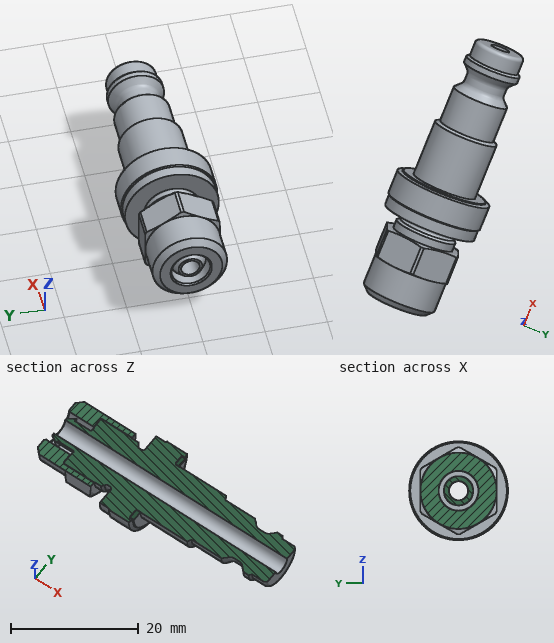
import cadquery as cq
import math

LENGTH = 43.6
BORE_DIA = 2.95

NUT_DIA = 12.0
NUT_FACE_DIA = 10.0
NUT_END_CHAMFER = (NUT_DIA - NUT_FACE_DIA) / 2
HEX_START = 6.0
NUT_END = 11.0
HEX_CORNER_DIA = 13.55
HEX_CHAMFER = 0.2
HOSE_HOLE_DIA = 6.2
HOSE_HOLE_MOUTH_DIA = 6.65
MOUTH_CHAMFER = (HOSE_HOLE_MOUTH_DIA - HOSE_HOLE_DIA) / 2

BARB_START = 0.55
BARB_TIP_DIA = 3.8
BARB_DIA = 5.55
BARB_LENGTH = 1.3
SPIGOT_DIA = 4.6
NECK_START = 5.0
NECK_DIA = 10.0
NECK_END = 12.25

GROOVE_RIM_DIA = 9.0
GROOVE_DIA = 8.4
GROOVE_START = 12.65
GROOVE_FLOOR_START = 13.05
GROOVE_FLOOR_END = 13.35

FLANGE_START = 13.8
FLANGE_DIA = 15.1
STEP_START = 15.6
STEP_END = 15.78
RIM_DIA = 15.5
RIM_END = 19.65
FLANGE_END = 19.87

RECESS_DIA = 14.0
SEAL_DIA = 13.85
SEAL_START = 19.25
SEAL_END = 20.05

SHANK_DIA = 10.4
SHANK_END = 29.05
SHANK_CHAMFER = 0.4
PLUG_DIA = 9.0
PLUG_END = 35.2
LATCH_DIA = 6.65
LATCH_CONE_DIA = 7.15
LATCH_ENTRY = 36.15
LATCH_FLOOR_START = 36.83
LATCH_FLOOR_END = 37.85
LATCH_EXIT = 38.52
COLLAR_START = 39.5
COLLAR_END = 40.5
TIP_START = 40.85
TIP_DIA = 8.1
TIP_FILLET = 0.6


def tangent_arc_mid(floor_x, floor_r, far_x, far_r):
    """Midpoint of an arc that leaves a cylindrical floor tangentially."""
    run = far_x - floor_x
    rise = far_r - floor_r
    radius = (run**2 + rise**2) / (2 * rise)
    half_angle = math.atan2(rise, abs(run))
    mid_run = math.copysign(radius * math.sin(half_angle), run)
    return (floor_x + mid_run, floor_r + radius * (1 - math.cos(half_angle)))


def arc_to_floor(profile, far_x, far_r, floor_x, floor_r):
    return profile.threePointArc(tangent_arc_mid(floor_x, floor_r, far_x, far_r), (floor_x, floor_r))


def arc_from_floor(profile, floor_x, floor_r, far_x, far_r):
    return profile.threePointArc(tangent_arc_mid(floor_x, floor_r, far_x, far_r), (far_x, far_r))


def revolve(profile):
    return profile.close().revolve(360, (0, 0, 0), (1, 0, 0))


def turned(points):
    return revolve(cq.Workplane("XY").polyline(points))


def cylinder(start, end, diameter):
    return cq.Workplane("YZ").workplane(offset=start).circle(diameter / 2).extrude(end - start)


def hexagon():
    """Hexagon with corners up and down, blunted and chamfered at both ends."""
    length = NUT_END - HEX_START
    across_corners = NUT_DIA / math.cos(math.pi / 6)
    blank = (
        cq.Workplane("YZ").workplane(offset=HEX_START)
        .transformed(rotate=(0, 0, 90))
        .polygon(6, across_corners).extrude(length)
    )
    envelope = turned([
        (HEX_START, 0),
        (HEX_START, NUT_DIA / 2),
        (HEX_START + HEX_CHAMFER, HEX_CORNER_DIA / 2),
        (NUT_END - HEX_CHAMFER, HEX_CORNER_DIA / 2),
        (NUT_END, NUT_DIA / 2),
        (NUT_END, 0),
    ])
    return blank.intersect(envelope)


def make_nut():
    sleeve = cylinder(0, HEX_START, NUT_DIA).faces("<X").chamfer(NUT_END_CHAMFER)
    hose_hole = turned([
        (0, 0),
        (0, HOSE_HOLE_MOUTH_DIA / 2),
        (MOUTH_CHAMFER, HOSE_HOLE_DIA / 2),
        (NECK_START, HOSE_HOLE_DIA / 2),
        (NECK_START, 0),
    ])
    neck_hole = cylinder(NECK_START, NUT_END, NECK_DIA)
    return sleeve.union(hexagon()).cut(hose_hole).cut(neck_hole)


def make_stem():
    barb_end = BARB_START + BARB_LENGTH
    profile = (
        cq.Workplane("XY").moveTo(BARB_START, BORE_DIA / 2)
        .lineTo(BARB_START, BARB_TIP_DIA / 2)
        .lineTo(barb_end, BARB_DIA / 2)
        .lineTo(barb_end, SPIGOT_DIA / 2)
        .lineTo(NECK_START, SPIGOT_DIA / 2)
        .lineTo(NECK_START, NECK_DIA / 2)
        .lineTo(NECK_END, NECK_DIA / 2)
        .lineTo(GROOVE_START, GROOVE_RIM_DIA / 2)
    )
    profile = arc_to_floor(profile, GROOVE_START, GROOVE_RIM_DIA / 2, GROOVE_FLOOR_START, GROOVE_DIA / 2)
    profile = profile.lineTo(GROOVE_FLOOR_END, GROOVE_DIA / 2)
    profile = arc_from_floor(profile, GROOVE_FLOOR_END, GROOVE_DIA / 2, FLANGE_START, GROOVE_RIM_DIA / 2)
    profile = (
        profile
        .lineTo(FLANGE_START, FLANGE_DIA / 2)
        .lineTo(STEP_START, FLANGE_DIA / 2)
        .lineTo(STEP_END, RIM_DIA / 2)
        .lineTo(RIM_END, RIM_DIA / 2)
        .lineTo(FLANGE_END, RECESS_DIA / 2)
        .lineTo(SEAL_START, RECESS_DIA / 2)
        .lineTo(SEAL_START, SHANK_DIA / 2)
        .lineTo(SHANK_END, SHANK_DIA / 2)
        .lineTo(SHANK_END + SHANK_CHAMFER, PLUG_DIA / 2)
        .lineTo(PLUG_END, PLUG_DIA / 2)
        .lineTo(LATCH_ENTRY, LATCH_CONE_DIA / 2)
    )
    profile = arc_to_floor(profile, LATCH_ENTRY, LATCH_CONE_DIA / 2, LATCH_FLOOR_START, LATCH_DIA / 2)
    profile = profile.lineTo(LATCH_FLOOR_END, LATCH_DIA / 2)
    profile = arc_from_floor(profile, LATCH_FLOOR_END, LATCH_DIA / 2, LATCH_EXIT, LATCH_CONE_DIA / 2)
    profile = (
        profile
        .lineTo(COLLAR_START, PLUG_DIA / 2)
        .lineTo(COLLAR_END, PLUG_DIA / 2)
        .lineTo(TIP_START, TIP_DIA / 2)
        .lineTo(LENGTH, TIP_DIA / 2)
        .lineTo(LENGTH, BORE_DIA / 2)
    )
    return revolve(profile).faces(">X").edges(cq.selectors.RadiusNthSelector(-1)).fillet(TIP_FILLET)


def make_seal():
    """Flat ring seated on the shank, standing slightly proud of the flange."""
    return cylinder(SEAL_START, SEAL_END, SEAL_DIA).cut(cylinder(SEAL_START, SEAL_END, SHANK_DIA))


nut = make_nut()
stem = make_stem()
seal = make_seal()
result = cq.Compound.makeCompound([nut.val(), stem.val(), seal.val()])